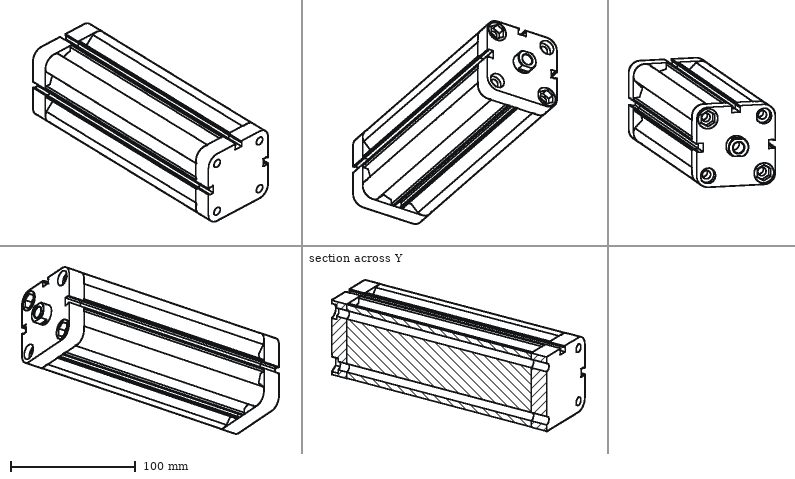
import cadquery as cq
import math

TOTAL_LENGTH = 214.5
SIDE = 65.5
CAP_THICKNESS = 14.8
ROD_PROJECTION = 8.0

CORNER_RADIUS = 9.7
BOLT_PITCH = 46.5
BOLT_HOLE_RADIUS = 3.5

SLOT_DEPTH = 5.4
SLOT_NECK_WIDTH = 5.8
SLOT_WIDTH = 7.0
SLOT_LIP = 1.3

SEAT_RADIUS = 8.2
SEAT_DEPTH = 0.5
HEX_ACROSS_FLATS = 11.2
HEX_DEPTH = 6.5
COUNTERBORE_RADIUS = 6.2
COUNTERBORE_DEPTH = 5.0

RAIL_WIDTH = 11.2
RAIL_CHAMFER = 1.3
TUBE_RADIUS = 28.0
COLUMN_RADIUS = 9.2
GROOVE_HALF_SPAN = 19.3
VALLEY_FILLET = 1.0
RAIL_FILLET = 0.6

ROD_RADIUS = 8.4
ROD_FLAT_WIDTH = 14.0
ROD_FLAT_LENGTH = 6.0
ROD_FLAT_RUNOUT = 0.6
ROD_HOLE_RADIUS = 4.5
ROD_HOLE_DEPTH = 15.0
ROD_CHAMFER = 0.5
DRILL_POINT_ANGLE = 118.0

HALF_SIDE = SIDE / 2
BOLT_OFFSET = BOLT_PITCH / 2
FRONT_CAP_X = ROD_PROJECTION
BARREL_X = FRONT_CAP_X + CAP_THICKNESS
REAR_CAP_X = TOTAL_LENGTH - CAP_THICKNESS
BARREL_LENGTH = REAR_CAP_X - BARREL_X

BARREL_SIDES = (0, 90, 180, 270)
SLOTTED_SIDES = (0, 90, 180)
HEX_SEATS = ((BOLT_OFFSET, BOLT_OFFSET), (-BOLT_OFFSET, -BOLT_OFFSET))
ROUND_SEATS = ((BOLT_OFFSET, -BOLT_OFFSET), (-BOLT_OFFSET, BOLT_OFFSET))


def section(x):
    """Workplane across the cylinder at x: local x is Y, local y is Z."""
    return cq.Workplane("YZ", origin=(x, 0, 0))


def turned(shape, angle):
    """Shape turned about the cylinder axis."""
    return shape.rotate((0, 0, 0), (1, 0, 0), angle)


def slot_cutter(x, length):
    """T-slot of the top side: a narrow neck over a wider channel."""
    floor = HALF_SIDE - SLOT_DEPTH
    channel_height = SLOT_DEPTH - SLOT_LIP
    channel = (
        section(x).center(0, floor + channel_height / 2)
        .rect(SLOT_WIDTH, channel_height).extrude(length)
    )
    neck = section(x).center(0, floor + SLOT_DEPTH / 2).rect(SLOT_NECK_WIDTH, SLOT_DEPTH).extrude(length)
    return channel.union(neck)


def bolt_holes(x, length):
    """The four corner holes between x and x + length."""
    return (
        section(x).rect(BOLT_PITCH, BOLT_PITCH, forConstruction=True)
        .vertices().circle(BOLT_HOLE_RADIUS).extrude(length)
    )


def slotted_cap(x):
    """Rounded square plate with four bolt holes and three T-slots."""
    cap = section(x).rect(SIDE, SIDE).extrude(CAP_THICKNESS).edges("|X").fillet(CORNER_RADIUS)
    cap = cap.cut(bolt_holes(x, CAP_THICKNESS))
    for angle in SLOTTED_SIDES:
        cap = cap.cut(turned(slot_cutter(x, CAP_THICKNESS), angle - 90))
    return cap


def make_front_cap():
    cap = slotted_cap(FRONT_CAP_X)
    face = section(FRONT_CAP_X)
    rod_hole = face.circle(ROD_RADIUS).extrude(CAP_THICKNESS)
    seats = face.pushPoints(HEX_SEATS).circle(SEAT_RADIUS).extrude(SEAT_DEPTH)
    counterbores = face.pushPoints(ROUND_SEATS).circle(COUNTERBORE_RADIUS).extrude(COUNTERBORE_DEPTH)
    cap = cap.cut(rod_hole).cut(seats).cut(counterbores)

    hex_across_corners = HEX_ACROSS_FLATS / math.cos(math.radians(30))
    for y, z in HEX_SEATS:
        pocket = section(FRONT_CAP_X).polygon(6, hex_across_corners).extrude(HEX_DEPTH)
        pocket = turned(pocket, 90).translate((0, y, z))
        cap = cap.cut(pocket)
    return cap


def tube_v(u):
    """Height of the round tube above the axis, at u along a side."""
    return math.sqrt(TUBE_RADIUS**2 - u**2)


RAIL_U = RAIL_WIDTH / 2
FLANK_V = BOLT_OFFSET + math.sqrt(COLUMN_RADIUS**2 - (BOLT_OFFSET - GROOVE_HALF_SPAN)**2)
FLANK_RISE = FLANK_V - GROOVE_HALF_SPAN
VALLEY_U = (math.sqrt(2 * TUBE_RADIUS**2 - FLANK_RISE**2) - FLANK_RISE) / 2
CORNER_MIDDLE = BOLT_OFFSET + COLUMN_RADIUS * math.sqrt(0.5)


def side_point(u, v, angle):
    """(Y, Z) of a point u along a side and v out from the axis, for the side facing that angle."""
    turn = math.radians(angle)
    return (
        v * math.cos(turn) - u * math.sin(turn),
        v * math.sin(turn) + u * math.cos(turn),
    )


def draw_grooved_side(outline, angle):
    """Groove, slotted rail and groove again, from one corner column to the next."""
    def at(u, v):
        return side_point(u, v, angle)

    neck_u = SLOT_NECK_WIDTH / 2
    rail_top_u = RAIL_U - RAIL_CHAMFER
    channel_u = SLOT_WIDTH / 2
    lip_v = HALF_SIDE - SLOT_LIP
    floor_v = HALF_SIDE - SLOT_DEPTH
    tube_mid_u = (VALLEY_U + RAIL_U) / 2
    return (
        outline
        .lineTo(*at(-VALLEY_U, tube_v(VALLEY_U)))
        .threePointArc(at(-tube_mid_u, tube_v(tube_mid_u)), at(-RAIL_U, tube_v(RAIL_U)))
        .lineTo(*at(-RAIL_U, HALF_SIDE - RAIL_CHAMFER))
        .lineTo(*at(-rail_top_u, HALF_SIDE))
        .lineTo(*at(-neck_u, HALF_SIDE))
        .lineTo(*at(-neck_u, lip_v))
        .lineTo(*at(-channel_u, lip_v))
        .lineTo(*at(-channel_u, floor_v))
        .lineTo(*at(channel_u, floor_v))
        .lineTo(*at(channel_u, lip_v))
        .lineTo(*at(neck_u, lip_v))
        .lineTo(*at(neck_u, HALF_SIDE))
        .lineTo(*at(rail_top_u, HALF_SIDE))
        .lineTo(*at(RAIL_U, HALF_SIDE - RAIL_CHAMFER))
        .lineTo(*at(RAIL_U, tube_v(RAIL_U)))
        .threePointArc(at(tube_mid_u, tube_v(tube_mid_u)), at(VALLEY_U, tube_v(VALLEY_U)))
        .lineTo(*at(GROOVE_HALF_SPAN, FLANK_V))
    )


def make_barrel():
    outline = section(BARREL_X).moveTo(*side_point(-GROOVE_HALF_SPAN, FLANK_V, 0))
    for angle in BARREL_SIDES:
        outline = draw_grooved_side(outline, angle)
        outline = outline.threePointArc(
            side_point(CORNER_MIDDLE, CORNER_MIDDLE, angle),
            side_point(FLANK_V, GROOVE_HALF_SPAN, angle),
        )
    barrel = outline.close().extrude(BARREL_LENGTH)

    middle_x = BARREL_X + BARREL_LENGTH / 2
    for angle in BARREL_SIDES:
        for u, radius in ((VALLEY_U, VALLEY_FILLET), (RAIL_U, RAIL_FILLET)):
            for mirrored_u in (u, -u):
                y, z = side_point(mirrored_u, tube_v(u), angle)
                edge = cq.NearestToPointSelector((middle_x, y, z))
                barrel = barrel.edges(edge).fillet(radius)
    return barrel.cut(bolt_holes(BARREL_X, BARREL_LENGTH))


def make_rear_cap():
    return slotted_cap(REAR_CAP_X)


def make_rod():
    rod = section(0).circle(ROD_RADIUS).extrude(BARREL_X).faces("<X").chamfer(ROD_CHAMFER)

    flat_z = ROD_FLAT_WIDTH / 2
    flat = (
        cq.Workplane("XZ")
        .moveTo(0, flat_z)
        .lineTo(ROD_FLAT_LENGTH, flat_z)
        .lineTo(ROD_FLAT_LENGTH + ROD_FLAT_RUNOUT, ROD_RADIUS)
        .lineTo(0, ROD_RADIUS)
        .close()
        .extrude(ROD_RADIUS, both=True)
    )
    rod = rod.cut(flat).cut(flat.mirror("XY"))

    point_depth = ROD_HOLE_RADIUS / math.tan(math.radians(DRILL_POINT_ANGLE / 2))
    hole = (
        cq.Workplane("XZ")
        .lineTo(0, ROD_HOLE_RADIUS + ROD_CHAMFER)
        .lineTo(ROD_CHAMFER, ROD_HOLE_RADIUS)
        .lineTo(ROD_HOLE_DEPTH, ROD_HOLE_RADIUS)
        .lineTo(ROD_HOLE_DEPTH + point_depth, 0)
        .close()
        .revolve(360, (0, 0, 0), (1, 0, 0))
    )
    return rod.cut(hole)


front_cap = make_front_cap()
barrel = make_barrel()
rear_cap = make_rear_cap()
rod = make_rod()

result = cq.Compound.makeCompound([front_cap.val(), barrel.val(), rear_cap.val(), rod.val()])